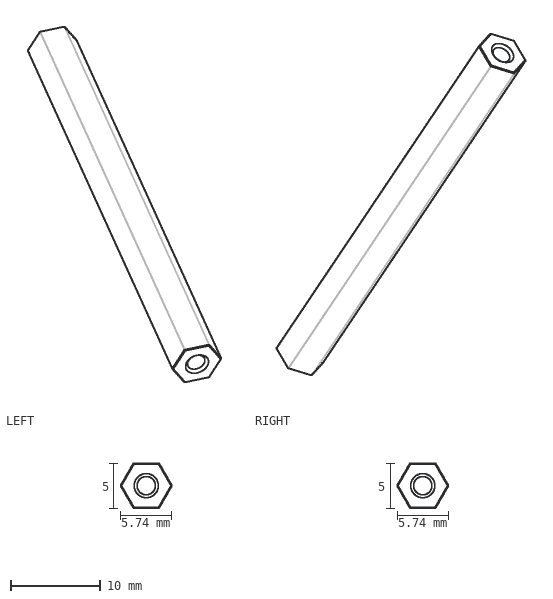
import cadquery as cq
import math

LENGTH = 55.0
ACROSS_FLATS = 5.0
CORNER_RADIUS = 0.1
END_CHAMFER = 0.1

HOLE_DIAMETER = 2.05
HOLE_DEPTH = 10.0
HOLE_MOUTH_DIAMETER = 2.7
DRILL_POINT_ANGLE = 118.0

HEXAGON_SIDES = 6


def hex_bar():
    """Hexagonal bar with flats facing +Z and -Z, rounded long edges and chamfered ends."""
    across_corners = ACROSS_FLATS / math.cos(math.pi / HEXAGON_SIDES)
    bar = cq.Workplane("YZ").polygon(HEXAGON_SIDES, across_corners).extrude(LENGTH)
    bar = bar.edges("|X").fillet(CORNER_RADIUS)
    return bar.faces("<X or >X").chamfer(END_CHAMFER)


def end_hole():
    """Cutter for the -X end: 45 degree mouth, straight bore and drill-point bottom."""
    hole_radius = HOLE_DIAMETER / 2
    mouth_radius = HOLE_MOUTH_DIAMETER / 2
    mouth_depth = mouth_radius - hole_radius
    point_length = hole_radius / math.tan(math.radians(DRILL_POINT_ANGLE / 2))
    half_profile = [
        (0, 0),
        (0, mouth_radius),
        (mouth_depth, hole_radius),
        (HOLE_DEPTH, hole_radius),
        (HOLE_DEPTH + point_length, 0),
    ]
    return cq.Workplane("XY").polyline(half_profile).close().revolve(360, (0, 0, 0), (1, 0, 0))


near_hole = end_hole()
far_hole = near_hole.mirror("YZ", (LENGTH / 2, 0, 0))

result = hex_bar().cut(near_hole).cut(far_hole)